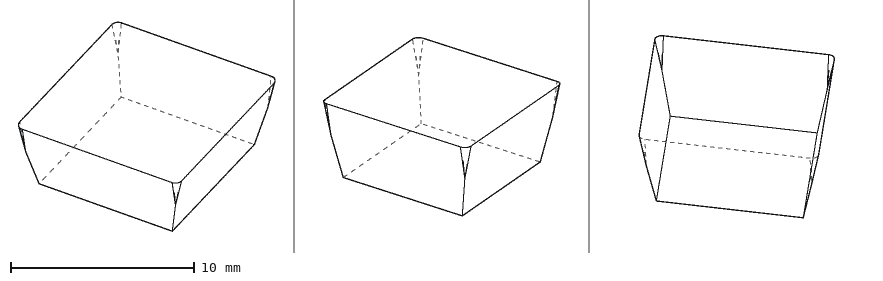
import cadquery as cq
import math

WIDTH_ACROSS_FLATS = 9.94
THICKNESS = 4.65
LEAN_ANGLE = 6.0
RELIEF_ANGLE = 11.0
CORNER_RADIUS = 0.4

LEAN = math.radians(LEAN_ANGLE)
RELIEF_SLOPE = math.tan(math.radians(RELIEF_ANGLE))
NOSE_DEPTH = CORNER_RADIUS / RELIEF_SLOPE


def rhombus_corners(inset):
    """Sharp corners of the top rhombus after moving every side inward by inset."""
    half_height = WIDTH_ACROSS_FLATS / 2 - inset
    half_side = half_height / math.cos(LEAN)
    shift = half_height * math.tan(LEAN)
    return [
        (-half_side - shift, -half_height),
        (half_side - shift, -half_height),
        (half_side + shift, half_height),
        (-half_side + shift, half_height),
    ]


def loft_between(lower_corners, upper_corners, height):
    """Straight-sided solid from the lower outline at Z = 0 to the upper one at height."""
    return (
        cq.Workplane("XY").polyline(lower_corners).close()
        .workplane(offset=height).polyline(upper_corners).close()
        .loft(ruled=True, combine=True)
    )


def sharp_body():
    """Tapered rhombic block with sharp vertical corners."""
    bottom_inset = THICKNESS * RELIEF_SLOPE
    return loft_between(rhombus_corners(bottom_inset), rhombus_corners(0), THICKNESS)


def planar_face(points):
    """Flat face bounded by straight lines through the points."""
    return cq.Face.makeFromWires(cq.Wire.makePolygon(points, close=True))


def nose_waste(corner, center, first_normal, second_normal):
    """Material outside the conical nose at one corner, ending in a point below the top face."""
    apex = cq.Vector(*center, THICKNESS - NOSE_DEPTH)
    middle = cq.Vector(*center, THICKNESS)
    tip = cq.Vector(*corner, THICKNESS)
    first_tangent = middle + first_normal * CORNER_RADIUS
    second_tangent = middle + second_normal * CORNER_RADIUS
    rim = [middle, first_tangent, tip, second_tangent]
    faces = [planar_face(rim)]
    for start, end in zip(rim, rim[1:] + rim[:1]):
        faces.append(planar_face([start, end, apex]))
    pyramid = cq.Solid.makeSolid(cq.Shell.makeShell(faces))
    cone = cq.Solid.makeCone(0, CORNER_RADIUS, NOSE_DEPTH, pnt=apex, dir=cq.Vector(0, 0, 1))
    return pyramid.cut(cone)


def insert_body():
    """Block with all four corners rounded by cones that fade out to sharp edges."""
    corners = rhombus_corners(0)
    centers = rhombus_corners(CORNER_RADIUS)
    right_normal = cq.Vector(math.cos(LEAN), -math.sin(LEAN), 0)
    back_normal = cq.Vector(0, 1, 0)
    normals = [-back_normal, right_normal, back_normal, -right_normal]
    body = sharp_body()
    for i in range(len(corners)):
        body = body.cut(cq.Workplane(nose_waste(corners[i], centers[i], normals[i - 1], normals[i])))
    return body


result = insert_body()